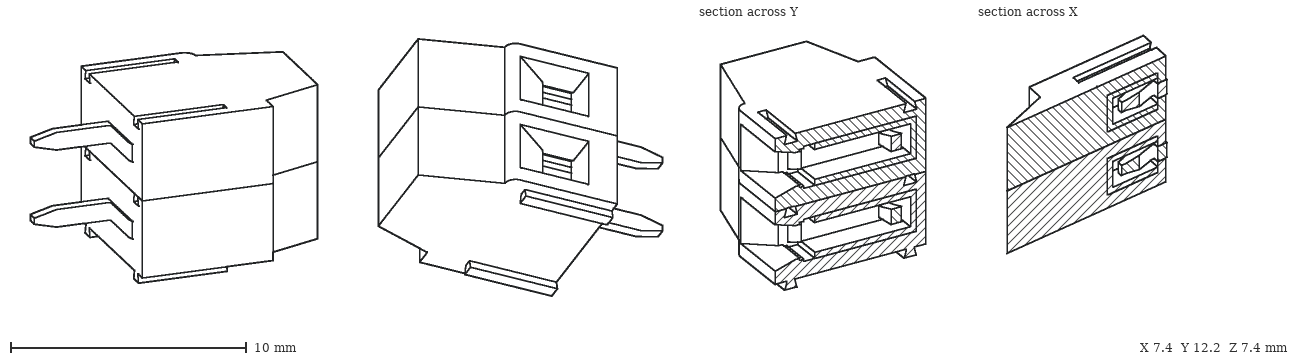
import cadquery as cq
import math


POLES = 2
PITCH = 3.5
WIDTH = 7.4
DEPTH = 8.63
BACK_LEFT = 1.4
BACK_RIGHT = 5.61
STEP_X = 6.59
STEP_Y = 5.93
SHOULDER_Y = 5.0
SHOULDER_RADIUS = 0.5

DOVETAIL_CENTRES = (0.78, 6.63)
DOVETAIL_NECK = 0.4
DOVETAIL_BASE = 0.61
DOVETAIL_HEIGHT = 0.4
DOVETAIL_LENGTH = 4.03

FUNNEL_BOTTOM = 1.32
FUNNEL_TOP = SHOULDER_Y - SHOULDER_RADIUS
FUNNEL_HEIGHT = 2.21
FUNNEL_DEPTH = 1.0
PASSAGE_BOTTOM = 1.52
PASSAGE_TOP = 3.03
PASSAGE_HEIGHT = 1.6
PASSAGE_END = 1.2
REBATE_HEIGHT = 1.8
REBATE_END = 1.41
CHAMBER_HEIGHT = 1.99
CHAMBER_END = 6.93

STRIP = 0.5
PIN_WIDTH = 0.8
PIN_LEG_LEFT = 3.25
TOTAL_DEPTH = 12.15
PIN_TIP_Y = DEPTH - TOTAL_DEPTH
PIN_TIP_WIDTH = 0.28
PIN_TAPER_Y = -2.52
FOOT_STANDOFF = 0.07
FOOT_BEND_X = 5.9
BEND_INNER_RADIUS = 0.1
ARM_LEAN = 16.6
ARM_TIP_Y = 2.3
ARM_TIP_WIDTH = 0.58
ARM_TAPER_START = 1.42
ARM_TAPER_END = 2.07

CAGE_WALL = 0.29
CAGE_FRONT = 1.95
CAGE_INNER_HEIGHT = 1.41
CAGE_INNER_RADIUS = 0.3
NOSE_X = 1.46
NOSE_HEIGHT = 1.51

chamber_floor = STRIP - FOOT_STANDOFF


def slab(outline, height):
    """Extrude an XY outline symmetrically about z = 0."""
    return outline.extrude(height / 2, both=True)


def box(x0, x1, y0, y1, height):
    """Box between the given X and Y limits, centred on z = 0."""
    return cq.Workplane("XY").box(x1 - x0, y1 - y0, height).translate(((x0 + x1) / 2, (y0 + y1) / 2, 0))


def dovetail(centre_x, neck_z):
    """Dovetail bar along Y, hanging down from its neck at neck_z."""
    base_z = neck_z - DOVETAIL_HEIGHT
    return (
        cq.Workplane("XZ")
        .polyline(
            [
                (centre_x - DOVETAIL_NECK / 2, neck_z),
                (centre_x + DOVETAIL_NECK / 2, neck_z),
                (centre_x + DOVETAIL_BASE / 2, base_z),
                (centre_x - DOVETAIL_BASE / 2, base_z),
            ]
        )
        .close()
        .extrude(-DOVETAIL_LENGTH)
    )


def make_funnel():
    """Tapered mouth from the left wall down to the passage."""
    return (
        cq.Workplane("YZ")
        .center((FUNNEL_BOTTOM + FUNNEL_TOP) / 2, 0)
        .rect(FUNNEL_TOP - FUNNEL_BOTTOM, FUNNEL_HEIGHT)
        .workplane(offset=FUNNEL_DEPTH)
        .center((PASSAGE_BOTTOM + PASSAGE_TOP - FUNNEL_BOTTOM - FUNNEL_TOP) / 2, 0)
        .rect(PASSAGE_TOP - PASSAGE_BOTTOM, PASSAGE_HEIGHT)
        .loft(ruled=True)
    )


def make_pin():
    """Solder leg, foot along the front face and leaning arm, swept as one strip about z = 0."""
    radius = BEND_INNER_RADIUS + STRIP / 2
    leg_x = PIN_LEG_LEFT + STRIP / 2
    foot_y = STRIP / 2 - FOOT_STANDOFF
    lean = math.radians(ARM_LEAN)

    def on_circle(centre, angle):
        return (centre[0] + radius * math.cos(angle), centre[1] + radius * math.sin(angle))

    leg_bend = (leg_x + radius, foot_y - radius)
    foot_bend = (FOOT_BEND_X, foot_y + radius)
    arm_start = on_circle(foot_bend, lean)
    arm_end_y = ARM_TIP_Y - radius * math.sin(lean)
    arm_end_x = arm_start[0] - (arm_end_y - arm_start[1]) * math.tan(lean)
    tip_bend = (arm_end_x + radius * math.cos(lean), ARM_TIP_Y)

    centreline = (
        cq.Workplane("XY")
        .moveTo(leg_x, PIN_TIP_Y)
        .lineTo(*on_circle(leg_bend, math.pi))
        .threePointArc(on_circle(leg_bend, math.radians(135)), on_circle(leg_bend, math.pi / 2))
        .lineTo(*on_circle(foot_bend, -math.pi / 2))
        .threePointArc(on_circle(foot_bend, (lean - math.pi / 2) / 2), arm_start)
        .lineTo(arm_end_x, arm_end_y)
        .threePointArc(on_circle(tip_bend, math.pi + lean / 2), on_circle(tip_bend, math.pi))
    )
    strip = (
        cq.Workplane("XZ", origin=(leg_x, PIN_TIP_Y, 0))
        .rect(STRIP, PIN_WIDTH)
        .sweep(centreline)
    )
    half_outline = [
        (PIN_TIP_Y, PIN_TIP_WIDTH / 2),
        (PIN_TAPER_Y, PIN_WIDTH / 2),
        (ARM_TAPER_START, PIN_WIDTH / 2),
        (ARM_TAPER_END, ARM_TIP_WIDTH / 2),
        (ARM_TIP_Y, ARM_TIP_WIDTH / 2),
    ]
    mirrored = [(y, -z) for y, z in reversed(half_outline)]
    tapers = cq.Workplane("YZ").polyline(half_outline + mirrored).close().extrude(WIDTH)
    return strip.intersect(tapers)


def make_cage():
    """Clamp cage that fills the chamber around the arm of the pin."""
    inner_top = PASSAGE_TOP - CAGE_WALL
    cover = box(CAGE_FRONT, CHAMBER_END, chamber_floor, PASSAGE_TOP, CHAMBER_HEIGHT)
    hollow = (
        box(CAGE_FRONT, CHAMBER_END - CAGE_WALL, chamber_floor, inner_top, CAGE_INNER_HEIGHT)
        .edges(">X and >Y")
        .fillet(CAGE_INNER_RADIUS)
    )
    nose_outline = (
        cq.Workplane("XY")
        .moveTo(NOSE_X, PASSAGE_TOP)
        .lineTo(CAGE_FRONT, inner_top)
        .lineTo(CAGE_FRONT, PASSAGE_TOP)
        .close()
    )
    return cover.cut(hollow).union(slab(nose_outline, NOSE_HEIGHT))


def make_housing(pin, has_tongues):
    """Housing of one pole, centred on z = 0, with a recess that fits the given pin."""
    arc_offset = SHOULDER_RADIUS * (1 - math.sqrt(0.5))
    outline = (
        cq.Workplane("XY")
        .lineTo(WIDTH, 0)
        .lineTo(WIDTH, STEP_Y)
        .lineTo(STEP_X, STEP_Y)
        .lineTo(BACK_RIGHT, DEPTH)
        .lineTo(BACK_LEFT, DEPTH)
        .lineTo(SHOULDER_RADIUS, SHOULDER_Y)
        .threePointArc((arc_offset, SHOULDER_Y - arc_offset), (0, FUNNEL_TOP))
        .close()
    )
    housing = (
        slab(outline, PITCH)
        .cut(make_funnel())
        .cut(box(FUNNEL_DEPTH, PASSAGE_END, PASSAGE_BOTTOM, PASSAGE_TOP, PASSAGE_HEIGHT))
        .cut(box(PASSAGE_END, REBATE_END, PASSAGE_BOTTOM, PASSAGE_TOP, REBATE_HEIGHT))
        .cut(box(REBATE_END, CHAMBER_END, chamber_floor, PASSAGE_TOP, CHAMBER_HEIGHT))
        .cut(pin)
    )
    for centre_x in DOVETAIL_CENTRES:
        housing = housing.cut(dovetail(centre_x, PITCH / 2))
        if has_tongues:
            housing = housing.union(dovetail(centre_x, -PITCH / 2))
    return housing


bodies = []
for pole in range(POLES):
    pole_centre = (0, 0, (pole + 0.5) * PITCH)
    pin = make_pin()
    cage = make_cage()
    housing = make_housing(pin, has_tongues=(pole == 0))
    for body in (housing, pin, cage):
        bodies.append(body.translate(pole_centre).solids().val())

result = cq.Compound.makeCompound(bodies)